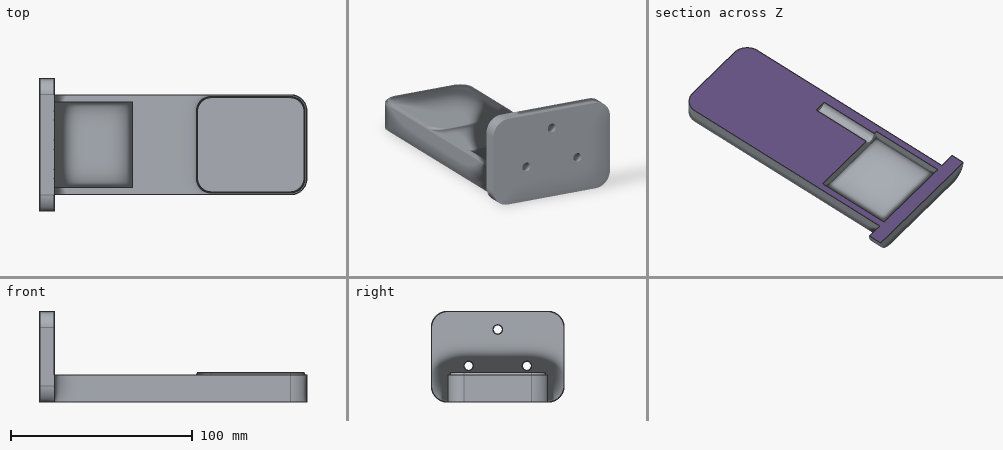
import cadquery as cq
import math

total_length = 147.0
plate_width = 73.0
plate_height = 50.0
plate_thickness = 8.1
plate_corner_radius = 9.0

screw_diameter = 5.0
screw_spacing = 32.0
lower_screw_height = 20.0
upper_screw_height = 40.0

arm_width = 55.0
arm_height = 15.0
arm_corner_radius = 9.0

pocket_length = 42.9
pocket_wall = 4.0
pocket_floor = 3.0
pocket_width = arm_width - 2 * pocket_wall
pocket_end = plate_thickness + pocket_length

cable_diameter = 6.8
cable_y = -18.2
cable_height = 9.5

pad_length = 59.7
pad_margin = 1.0
pad_height = 1.3
pad_corner_radius = 8.0
pad_edge_inset = 0.6
pad_width = arm_width - 2 * pad_margin
pad_end = total_length - pad_margin
pad_start = pad_end - pad_length


def make_plate():
    return (
        cq.Workplane("XY")
        .box(plate_thickness, plate_width, plate_height, centered=(False, True, False))
        .edges("|X")
        .fillet(plate_corner_radius)
    )


def make_arm():
    arm_length = total_length - plate_thickness
    return (
        cq.Workplane("XY", origin=(plate_thickness, 0, 0))
        .box(arm_length, arm_width, arm_height, centered=(False, True, False))
        .edges("|Z and >X")
        .fillet(arm_corner_radius)
    )


def make_pocket():
    return (
        cq.Workplane("XY", origin=(plate_thickness, 0, pocket_floor))
        .box(pocket_length, pocket_width, arm_height - pocket_floor, centered=(False, True, False))
    )


def make_screw_holes():
    positions = [
        (-screw_spacing / 2, lower_screw_height),
        (screw_spacing / 2, lower_screw_height),
        (0, upper_screw_height),
    ]
    return (
        cq.Workplane("YZ")
        .pushPoints(positions)
        .circle(screw_diameter / 2)
        .extrude(plate_thickness)
    )


def make_cable_hole():
    return (
        cq.Workplane("YZ", origin=(pocket_end, cable_y, cable_height))
        .circle(cable_diameter / 2)
        .extrude(pad_start - pocket_end)
    )


def make_bracket():
    return (
        make_plate()
        .union(make_arm())
        .cut(make_pocket())
        .cut(make_screw_holes())
        .cut(make_cable_hole())
    )


def make_pad():
    side_taper = math.degrees(math.atan2(pad_edge_inset, pad_height))
    outline = cq.Sketch().rect(pad_length, pad_width).vertices().fillet(pad_corner_radius)
    return (
        cq.Workplane("XY", origin=(pad_start + pad_length / 2, 0, arm_height))
        .placeSketch(outline)
        .extrude(pad_height, taper=side_taper)
    )


bracket = make_bracket()
pad = make_pad()

result = cq.Compound.makeCompound([bracket.val(), pad.val()])